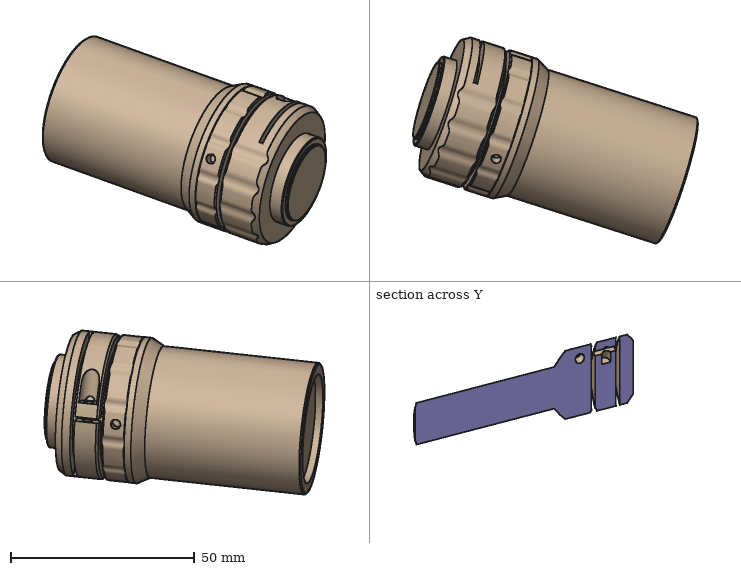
import cadquery as cq
import math

total_length = 72.4
shoulder_start = 43.2
shoulder_full = 46.7
lock_ring_start = 48.6
lock_ring_end = 54.9
cap_start = 55.9
cap_end = 67.85
hub_end = 71.65

ring_radius = 20.0
body_radius = 18.1
core_radius = 16.1
hub_radius = 12.8
tip_radius = 11.0

body_chamfer = 0.4
lock_ring_chamfer = 0.4
lock_ring_relief = 0.15
cap_front_chamfer = 0.6
cap_rear_chamfer_length = 1.95
cap_rear_chamfer_depth = 1.2
hub_chamfer = 0.25

window_mouth_radius = 15.0
window_floor_radius = 14.8
window_depth = 2.0

flute_depth = 0.6
lock_flute_radius = 2.1
lock_flute_count = 12
lock_flute_pitch = 360 / lock_flute_count
lock_flute_start = 7.5
lock_flute_angles = [lock_flute_start + lock_flute_pitch * i for i in range(lock_flute_count)]

cap_flute_radius = 3.2
cap_flute_count = 8
cap_flute_pitch = 25.0
cap_flute_start = 128.9
cap_flute_angles = [cap_flute_start + cap_flute_pitch * i for i in range(cap_flute_count)]

spanner_hole_x = 51.2
spanner_hole_diameter = 2.6
spanner_hole_depth = 3.0
spanner_hole_count = 3
spanner_hole_start = 22.5
spanner_hole_pitch = 360 / spanner_hole_count
spanner_hole_angles = [spanner_hole_start + spanner_hole_pitch * i for i in range(spanner_hole_count)]

slit_start = 62.5
slit_width = 1.1
slit_first_angle = -44.0
slit_last_angle = 116.9
split_angle = 23.4
split_width = 1.2
screw_x = 59.4
screw_radial_offset = 17.5
screw_seat_height = 4.5
screw_seat_diameter = 4.9
screw_hole_diameter = 2.7
screw_hole_depth = 8.0

cut_margin = 5.0


def polar(radius, angle):
    """Point in the YZ plane at an angle in degrees from +Y towards +Z."""
    return (radius * math.cos(math.radians(angle)), radius * math.sin(math.radians(angle)))


def revolve_x(points):
    """Revolve a closed (x, radius) outline about the X axis."""
    return cq.Workplane("XY").polyline(points).close().revolve(360, (0, 0, 0), (1, 0, 0))


def fluted_bar(x_start, x_end, flute_angles, flute_radius):
    """Bar along X with concave flutes whose lips are rounded to the same radius."""
    hollow_centre = ring_radius - flute_depth + flute_radius
    lip_centre = ring_radius - flute_radius
    centre_gap = 2 * flute_radius
    lip_cosine = (hollow_centre**2 + lip_centre**2 - centre_gap**2) / (2 * hollow_centre * lip_centre)
    lip_angle = math.degrees(math.acos(lip_cosine))

    def lip_points(flute_angle, side):
        """Outer end, middle and inner end of one lip arc."""
        outward = flute_angle + side * lip_angle
        centre_y, centre_z = polar(lip_centre, outward)
        hollow_y, hollow_z = polar(hollow_centre, flute_angle)
        inward = math.degrees(math.atan2(hollow_z - centre_z, hollow_y - centre_y))
        turn = (inward - outward + 180) % 360 - 180
        points = []
        for fraction in (0, 0.5, 1):
            step_y, step_z = polar(flute_radius, outward + fraction * turn)
            points.append((centre_y + step_y, centre_z + step_z))
        return points

    first_outer = lip_points(flute_angles[0], -1)[0]
    outline = cq.Workplane("YZ", origin=(x_start, 0, 0)).moveTo(*first_outer)
    next_angles = flute_angles[1:] + [flute_angles[0] + 360]
    for angle, next_angle in zip(flute_angles, next_angles):
        entry_lip = lip_points(angle, -1)
        exit_lip = lip_points(angle, 1)
        land_middle = polar(ring_radius, (angle + next_angle) / 2)
        land_end = lip_points(next_angle, -1)[0]
        outline = outline.threePointArc(entry_lip[1], entry_lip[2])
        outline = outline.threePointArc(polar(ring_radius - flute_depth, angle), exit_lip[2])
        outline = outline.threePointArc(exit_lip[1], exit_lip[0])
        outline = outline.threePointArc(land_middle, land_end)
    return outline.close().extrude(x_end - x_start)


def make_core():
    """Turned body: front barrel, shoulder, core under the rings, hub and tip."""
    barrel = revolve_x([
        (0, 0),
        (0, body_radius - body_chamfer),
        (body_chamfer, body_radius),
        (shoulder_start, body_radius),
        (shoulder_full, ring_radius),
        (lock_ring_start, ring_radius),
        (lock_ring_start, core_radius),
        (cap_end, core_radius),
        (cap_end, hub_radius),
        (hub_end - hub_chamfer, hub_radius),
        (hub_end, hub_radius - hub_chamfer),
        (hub_end, tip_radius),
        (total_length - hub_chamfer, tip_radius),
        (total_length, tip_radius - hub_chamfer),
        (total_length, 0),
    ])
    window = revolve_x([
        (0, 0),
        (0, window_mouth_radius),
        (window_depth, window_floor_radius),
        (window_depth, 0),
    ])
    return barrel.cut(window)


def cut_spanner_holes(part):
    """Drill the blind radial holes between flutes of the lock ring."""
    for angle in spanner_hole_angles:
        drill = (
            cq.Workplane("XZ")
            .circle(spanner_hole_diameter / 2)
            .extrude(-(spanner_hole_depth + cut_margin))
            .translate((spanner_hole_x, ring_radius - spanner_hole_depth, 0))
            .rotate((0, 0, 0), (1, 0, 0), angle)
        )
        part = part.cut(drill)
    return part


def make_lock_ring():
    """Fluted lock ring with radial spanner holes."""
    envelope = revolve_x([
        (lock_ring_start, 0),
        (lock_ring_start, ring_radius - lock_ring_relief),
        (lock_ring_start + lock_ring_relief, ring_radius),
        (lock_ring_end - lock_ring_chamfer, ring_radius),
        (lock_ring_end, ring_radius - lock_ring_chamfer),
        (lock_ring_end, 0),
    ])
    bar = fluted_bar(lock_ring_start, lock_ring_end, lock_flute_angles, lock_flute_radius)
    return cut_spanner_holes(bar.intersect(envelope))


def make_slit():
    """Sector-shaped slit that frees the clamping band from the rest of the cap."""
    reach = ring_radius + cut_margin
    middle = (slit_first_angle + slit_last_angle) / 2
    return (
        cq.Workplane("YZ", origin=(slit_start, 0, 0))
        .lineTo(*polar(reach, slit_first_angle))
        .threePointArc(polar(reach, middle), polar(reach, slit_last_angle))
        .close()
        .extrude(slit_width)
    )


def make_clamp_cut():
    """Split across the clamping band, with the tangential screw hole and its seat."""
    band_length = slit_start - cap_start
    split = (
        cq.Workplane("XY", origin=(cap_start, 0, 0))
        .box(band_length, ring_radius + cut_margin, split_width, centered=(False, False, True))
    )
    seat_plane = cq.Workplane("XY", origin=(screw_x, screw_radial_offset, screw_seat_height))
    seat_round = seat_plane.circle(screw_seat_diameter / 2).extrude(ring_radius)
    seat_runout = (
        seat_plane.rect(screw_seat_diameter, 2 * cut_margin)
        .extrude(ring_radius)
        .translate((0, cut_margin, 0))
    )
    seat = seat_round.union(seat_runout)
    hole = seat_plane.circle(screw_hole_diameter / 2).extrude(-screw_hole_depth)
    tool = split.union(seat).union(hole)
    return tool.rotate((0, 0, 0), (1, 0, 0), split_angle)


def make_cap():
    """Fluted rear cap with a clamping band on its smooth side."""
    envelope = revolve_x([
        (cap_start, 0),
        (cap_start, ring_radius - cap_front_chamfer),
        (cap_start + cap_front_chamfer, ring_radius),
        (cap_end - cap_rear_chamfer_length, ring_radius),
        (cap_end, ring_radius - cap_rear_chamfer_depth),
        (cap_end, 0),
    ])
    cap = fluted_bar(cap_start, cap_end, cap_flute_angles, cap_flute_radius).intersect(envelope)
    return cap.cut(make_slit()).cut(make_clamp_cut())


result = make_core().union(make_lock_ring()).union(make_cap())